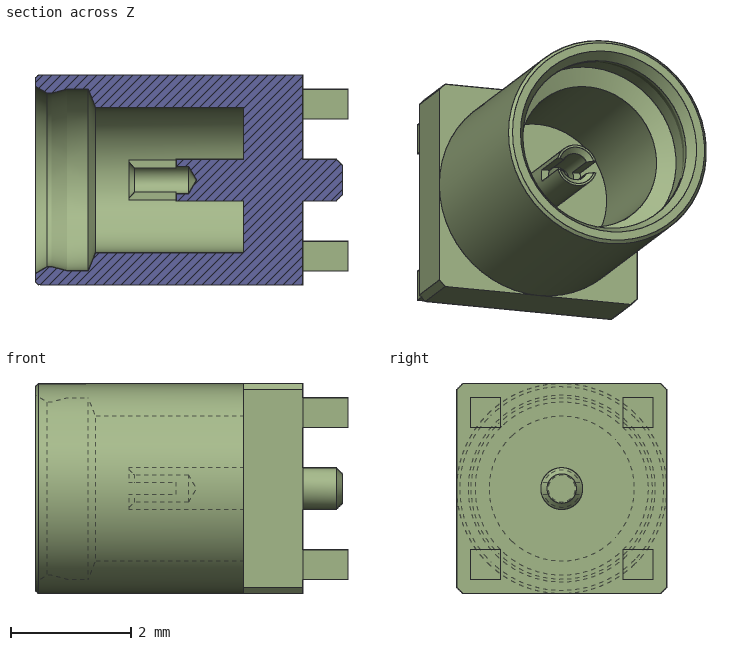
import cadquery as cq

LENGTH = 5.21
WIDTH = 3.5
FLANGE_FRONT = 3.465
FLANGE_BACK = 4.455
FLANGE_CORNER_CHAMFER = 0.105

BARREL_RADIUS = WIDTH / 2
BARREL_CHAMFER = 0.05
ENTRY_RADIUS = 1.56
LIP_RADIUS = 1.445
GROOVE_RADIUS = 1.51
BORE_RADIUS = 1.21
LIP_START = 0.2
LIP_END = 0.27
GROOVE_START = 0.53
GROOVE_END = 0.88
BORE_START = 1.0
BORE_FLOOR = FLANGE_FRONT

CONTACT_RADIUS = 0.35
CONTACT_FRONT = 1.565
CONTACT_BACK = 5.115
CONTACT_BACK_CHAMFER = 0.105
SOCKET_MOUTH_RADIUS = 0.31
SOCKET_RADIUS = 0.225
SOCKET_MOUTH_DEPTH = SOCKET_MOUTH_RADIUS - SOCKET_RADIUS
SOCKET_DEPTH = 0.99
SOCKET_TIP_DEPTH = 0.13
SLOT_WIDTH = 0.2
SLOT_DEPTH = 0.78

LEG_SIZE = 0.5
LEG_OUTER_FACE = 1.515
LEG_CENTER = LEG_OUTER_FACE - LEG_SIZE / 2


def revolve_about_x(profile):
    """Revolve a closed (axial position, radius) profile about the X axis."""
    return cq.Workplane("XY").polyline(profile).close().revolve(360, (0, 0, 0), (1, 0, 0))


def make_flange():
    thickness = FLANGE_BACK - FLANGE_FRONT
    flange = cq.Workplane("YZ", origin=(FLANGE_FRONT, 0, 0)).rect(WIDTH, WIDTH).extrude(thickness)
    return flange.edges("|X").chamfer(FLANGE_CORNER_CHAMFER)


def make_barrel():
    barrel = cq.Workplane("YZ").circle(BARREL_RADIUS).extrude(FLANGE_FRONT)
    return barrel.faces("<X").edges().chamfer(BARREL_CHAMFER)


def make_bore():
    """Tapered entry, snap lip, retaining groove and main bore."""
    return revolve_about_x([
        (0, 0),
        (0, ENTRY_RADIUS),
        (LIP_START, LIP_RADIUS),
        (LIP_END, LIP_RADIUS),
        (GROOVE_START, GROOVE_RADIUS),
        (GROOVE_END, GROOVE_RADIUS),
        (BORE_START, BORE_RADIUS),
        (BORE_FLOOR, BORE_RADIUS),
        (BORE_FLOOR, 0),
    ])


def make_contact():
    length = CONTACT_BACK - CONTACT_FRONT
    contact = cq.Workplane("YZ", origin=(CONTACT_FRONT, 0, 0)).circle(CONTACT_RADIUS).extrude(length)
    contact = contact.faces(">X").edges().chamfer(CONTACT_BACK_CHAMFER)

    socket_end = CONTACT_FRONT + SOCKET_DEPTH
    socket = revolve_about_x([
        (CONTACT_FRONT, 0),
        (CONTACT_FRONT, SOCKET_MOUTH_RADIUS),
        (CONTACT_FRONT + SOCKET_MOUTH_DEPTH, SOCKET_RADIUS),
        (socket_end, SOCKET_RADIUS),
        (socket_end + SOCKET_TIP_DEPTH, 0),
    ])

    slot = (
        cq.Workplane("YZ", origin=(CONTACT_FRONT, 0, 0))
        .rect(2 * CONTACT_RADIUS, SLOT_WIDTH)
        .extrude(SLOT_DEPTH)
    )
    return contact.cut(socket).cut(slot)


def make_legs():
    spacing = 2 * LEG_CENTER
    return (
        cq.Workplane("YZ", origin=(FLANGE_BACK, 0, 0))
        .rarray(spacing, spacing, 2, 2)
        .rect(LEG_SIZE, LEG_SIZE)
        .extrude(LENGTH - FLANGE_BACK)
    )


shell = make_barrel().union(make_flange()).cut(make_bore())
result = shell.union(make_contact()).union(make_legs())